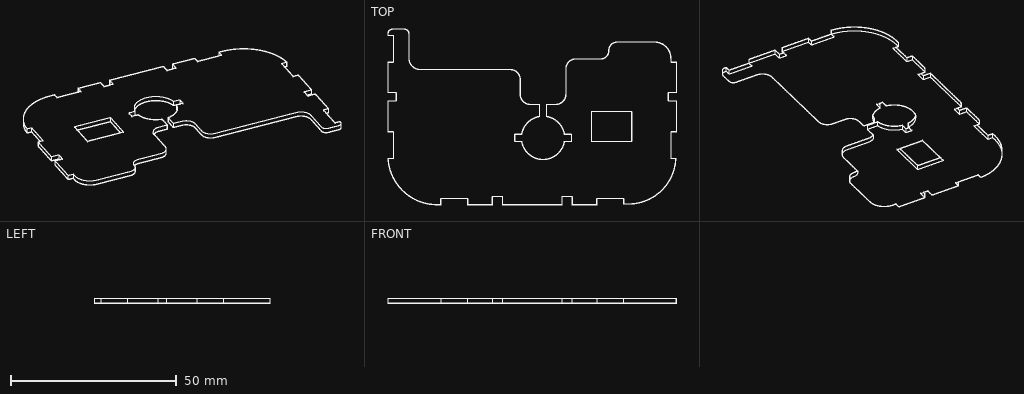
import cadquery as cq

LENGTH = 87.0
WIDTH = 53.0
THICKNESS = 1.5

CORNER_TOP_Y = 14.0
CORNER_SPAN_X = 14.5
LEFT_CORNER_RADIUS = 14.9
RIGHT_CORNER_RADIUS = 14.4
RIGHT_CORNER_INSET_X = 0.2
RIGHT_CORNER_INSET_Y = 0.2

HOOK_WIDTH = 6.4
HOOK_RADIUS = 1.5
LEFT_SHOULDER_Y = 40.8
BAY_LEFT_X = 39.9
BAY_RIGHT_X = 53.6
BAY_FLOOR_Y = 30.3
RIGHT_SHOULDER_Y = 44.0
STEP_X = 66.5
STEP_TOP_Y = 49.1
STEP_INNER_RADIUS = 2.3
STEP_OUTER_RADIUS = 2.7
SHOULDER_RADIUS = 3.0
HOOK_ROOT_RADIUS = 3.3
UPPER_RIGHT_RADIUS = 5.0

NOTCH_LENGTH = 8.0
SIDE_NOTCH_DEPTH = 1.7
BOTTOM_NOTCH_DEPTH = 1.9
BOTTOM_NOTCH_X = 16.0
UPPER_NOTCH_Y = 43.0
BOTTOM_SLOT_X = 31.5
BOTTOM_SLOT_WIDTH = 3.0
SIDE_SLOT_Y = 31.3
SIDE_SLOT_WIDTH = 2.5
SLOT_DEPTH = 2.5

HOLE_X = (BAY_LEFT_X + BAY_RIGHT_X) / 2
HOLE_Y = 20.2
HOLE_RADIUS = 6.5
KEY_SPAN = 17.0
KEY_WIDTH = 2.1
GAP_WIDTH = 2.0

WINDOW_X = 61.4
WINDOW_Y = 19.1
WINDOW_LENGTH = 12.0
WINDOW_WIDTH = 9.0


def block(x, y, length, width):
    """Block through the plate thickness, with its lower left corner at (x, y)."""
    return cq.Workplane("XY").box(length, width, THICKNESS, centered=False).translate((x, y, 0))


def make_outline():
    """Plate with its stepped upper edge still sharp and without edge notches."""
    upper_right_x = LENGTH - SIDE_NOTCH_DEPTH
    right_notch_end_x = LENGTH - BOTTOM_NOTCH_X
    return (
        cq.Workplane("XY")
        .moveTo(0, CORNER_TOP_Y)
        .radiusArc((CORNER_SPAN_X, 0), -LEFT_CORNER_RADIUS)
        .lineTo(right_notch_end_x, 0)
        .lineTo(right_notch_end_x, RIGHT_CORNER_INSET_Y)
        .lineTo(LENGTH - CORNER_SPAN_X, RIGHT_CORNER_INSET_Y)
        .radiusArc((LENGTH - RIGHT_CORNER_INSET_X, CORNER_TOP_Y), -RIGHT_CORNER_RADIUS)
        .lineTo(LENGTH, CORNER_TOP_Y)
        .lineTo(LENGTH, UPPER_NOTCH_Y)
        .lineTo(upper_right_x, UPPER_NOTCH_Y)
        .lineTo(upper_right_x, STEP_TOP_Y)
        .lineTo(STEP_X, STEP_TOP_Y)
        .lineTo(STEP_X, RIGHT_SHOULDER_Y)
        .lineTo(BAY_RIGHT_X, RIGHT_SHOULDER_Y)
        .lineTo(BAY_RIGHT_X, BAY_FLOOR_Y)
        .lineTo(BAY_LEFT_X, BAY_FLOOR_Y)
        .lineTo(BAY_LEFT_X, LEFT_SHOULDER_Y)
        .lineTo(HOOK_WIDTH, LEFT_SHOULDER_Y)
        .lineTo(HOOK_WIDTH, WIDTH)
        .lineTo(0, WIDTH)
        .close()
        .extrude(THICKNESS)
    )


def round_upper_edge(plate):
    """Round each corner of the stepped upper edge."""
    corners = [
        (0, WIDTH, HOOK_RADIUS),
        (HOOK_WIDTH, WIDTH, HOOK_RADIUS),
        (HOOK_WIDTH, LEFT_SHOULDER_Y, HOOK_ROOT_RADIUS),
        (BAY_LEFT_X, LEFT_SHOULDER_Y, SHOULDER_RADIUS),
        (BAY_LEFT_X, BAY_FLOOR_Y, SHOULDER_RADIUS),
        (BAY_RIGHT_X, BAY_FLOOR_Y, SHOULDER_RADIUS),
        (BAY_RIGHT_X, RIGHT_SHOULDER_Y, SHOULDER_RADIUS),
        (STEP_X, RIGHT_SHOULDER_Y, STEP_INNER_RADIUS),
        (STEP_X, STEP_TOP_Y, STEP_OUTER_RADIUS),
        (LENGTH - SIDE_NOTCH_DEPTH, STEP_TOP_Y, UPPER_RIGHT_RADIUS),
    ]
    for x, y, radius in corners:
        corner_edge = cq.selectors.NearestToPointSelector((x, y, THICKNESS / 2))
        plate = plate.edges("|Z").edges(corner_edge).fillet(radius)
    return plate


def cut_edge_notches(plate):
    """Cut the notches and slots of the left half and their mirrored copies."""
    cuts = [
        (0, CORNER_TOP_Y, SIDE_NOTCH_DEPTH, NOTCH_LENGTH),
        (0, SIDE_SLOT_Y, SLOT_DEPTH, SIDE_SLOT_WIDTH),
        (BOTTOM_NOTCH_X, 0, NOTCH_LENGTH, BOTTOM_NOTCH_DEPTH),
        (BOTTOM_SLOT_X, 0, BOTTOM_SLOT_WIDTH, SLOT_DEPTH),
    ]
    for x, y, length, width in cuts:
        plate = plate.cut(block(x, y, length, width))
        plate = plate.cut(block(LENGTH - x - length, y, length, width))
    return plate.cut(block(0, UPPER_NOTCH_Y, SIDE_NOTCH_DEPTH, NOTCH_LENGTH))


def cut_keyed_hole(plate):
    """Cut the round opening, its two side keys and the gap up to the bay."""
    hole = cq.Workplane("XY").center(HOLE_X, HOLE_Y).circle(HOLE_RADIUS).extrude(THICKNESS)
    keys = block(HOLE_X - KEY_SPAN / 2, HOLE_Y - KEY_WIDTH / 2, KEY_SPAN, KEY_WIDTH)
    gap = block(HOLE_X - GAP_WIDTH / 2, HOLE_Y, GAP_WIDTH, BAY_FLOOR_Y - HOLE_Y)
    return plate.cut(hole).cut(keys).cut(gap)


def cut_window(plate):
    """Cut the rectangular window right of the round opening."""
    return plate.cut(block(WINDOW_X, WINDOW_Y, WINDOW_LENGTH, WINDOW_WIDTH))


plate = round_upper_edge(make_outline())
plate = cut_edge_notches(plate)
plate = cut_keyed_hole(plate)
result = cut_window(plate)